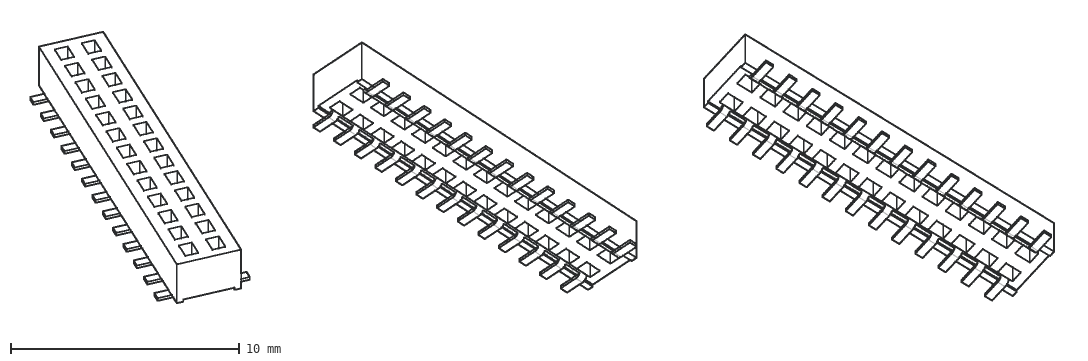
import cadquery as cq
import math

housing_length = 16.94
housing_width = 3.02
total_height = 2.29
lead_span = 4.32

pitch = 1.27
contacts_per_row = 13
row_length = (contacts_per_row - 1) * pitch

socket_length = 0.81
socket_width = 0.61
recess_width = 2.4
recess_depth = 0.12

lead_thickness = 0.15
lead_width = 0.4
riser_outer_y = 1.1
inner_bend_radius = 0.05
outer_bend_radius = 0.25

lead_top = lead_thickness
recess_ceiling = lead_top + recess_depth
riser_inner_y = riser_outer_y - lead_thickness
lead_tip_y = lead_span / 2
contact_places = [i * pitch - row_length / 2 for i in range(contacts_per_row)]


def bend_middle(corner_y, corner_z, radius):
    """Midpoint of the arc that rounds a corner opening toward +Y and +Z."""
    inset = radius * (1 - math.sqrt(0.5))
    return (corner_y + inset, corner_z + inset)


def make_housing():
    """Block standing on two long feet, with two rows of through sockets."""
    base = cq.Workplane("XY").workplane(offset=lead_top)
    block = base.rect(housing_length, housing_width).extrude(total_height - lead_top)

    recess = base.rect(housing_length, recess_width).extrude(recess_depth)

    socket_centres = [(x, y) for x in contact_places for y in (-pitch / 2, pitch / 2)]
    sockets = base.pushPoints(socket_centres).rect(socket_length, socket_width)
    sockets = sockets.extrude(total_height - lead_top)

    return block.cut(recess).cut(sockets).solids()


def make_bent_strip():
    """Strip as long as the row: flat along the soldering plane, then bent up to the recess ceiling."""
    profile = (
        cq.Workplane("YZ")
        .moveTo(riser_inner_y + outer_bend_radius, 0)
        .lineTo(lead_tip_y, 0)
        .lineTo(lead_tip_y, lead_top)
        .lineTo(riser_outer_y + inner_bend_radius, lead_top)
        .threePointArc(
            bend_middle(riser_outer_y, lead_top, inner_bend_radius),
            (riser_outer_y, lead_top + inner_bend_radius),
        )
        .lineTo(riser_outer_y, recess_ceiling)
        .lineTo(riser_inner_y, recess_ceiling)
        .lineTo(riser_inner_y, outer_bend_radius)
        .threePointArc(
            bend_middle(riser_inner_y, 0, outer_bend_radius),
            (riser_inner_y + outer_bend_radius, 0),
        )
        .close()
    )
    return profile.extrude((row_length + lead_width) / 2, both=True)


def make_contact_row():
    """Comb of leads on the +Y side, joined by the riser of the bent strip."""
    gap_centres = [(x + pitch / 2, lead_tip_y / 2) for x in contact_places[:-1]]
    gaps = cq.Workplane("XY").pushPoints(gap_centres).rect(pitch - lead_width, lead_tip_y)
    return make_bent_strip().cut(gaps.extrude(lead_top)).solids()


housing = make_housing()

contact_rows = []
for turn in (0, 180):
    contact_rows.append(make_contact_row().rotate((0, 0, 0), (0, 0, 1), turn))

result = cq.Compound.makeCompound([housing.val(), *[row.val() for row in contact_rows]])